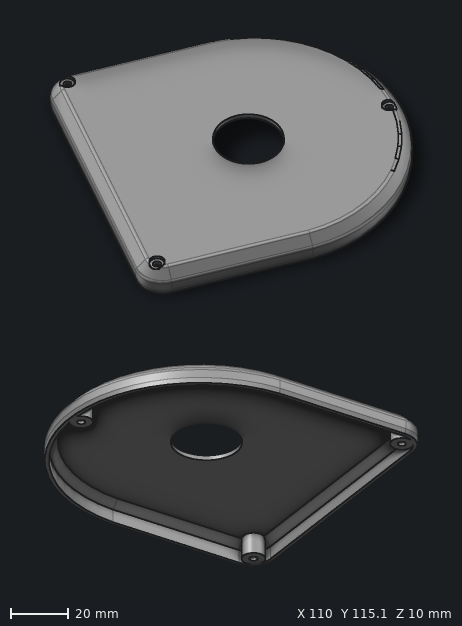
import cadquery as cq

width = 110.0
length = 115.1
height = 10.0

corner_radius = 10.0
rear_arc_start_y = 4.8

top_chamfer = 4.1
chamfer_blend_radius = 1.7
rim_taper_height = 2.0
rim_taper_inset = 0.5

wall = 2.0
cavity_height = height - wall
cavity_chamfer = 3.0

center_hole_diameter = 25.0
screw_hole_diameter = 2.9
screw_seat_diameter = 5.5
screw_seat_depth = 1.2
screw_boss_diameter = 8.3
front_screw_inset = 7.0
rear_screw_inset = 5.3
screw_points = [
    (-width / 2 + front_screw_inset, -length / 2 + front_screw_inset),
    (width / 2 - front_screw_inset, -length / 2 + front_screw_inset),
    (0, length / 2 - rear_screw_inset),
]


def rounded_plate(inset, plate_height):
    """Extrude the lid outline, moved inward by inset, up from Z = 0."""
    half_width = width / 2 - inset
    half_length = length / 2 - inset
    plate = (
        cq.Workplane("XY")
        .moveTo(-half_width, -half_length)
        .lineTo(half_width, -half_length)
        .lineTo(half_width, rear_arc_start_y)
        .threePointArc((0, half_length), (-half_width, rear_arc_start_y))
        .close()
        .extrude(plate_height)
    )
    return plate.edges("|Z and <Y").fillet(corner_radius - inset)


def outer_body():
    """Solid lid with a blended top chamfer and a tapered lower rim."""
    body = rounded_plate(0, height).faces(">Z").chamfer(top_chamfer)
    shoulder_z = height - top_chamfer
    margin = 0.1
    shoulder = cq.selectors.BoxSelector(
        (-width, -length, shoulder_z - margin),
        (width, length, shoulder_z + margin),
        boundingbox=True,
    )
    body = body.edges(shoulder).fillet(chamfer_blend_radius)
    body = body.faces(">Z").edges().fillet(chamfer_blend_radius)
    return body.faces("<Z").chamfer(rim_taper_height, rim_taper_inset)


def cavity():
    """Open space under the lid, following the outer shape."""
    space = rounded_plate(wall, cavity_height).faces(">Z").chamfer(cavity_chamfer)
    return space.cut(cylinders(screw_points, screw_boss_diameter, 0))


def cylinders(points, diameter, bottom_z):
    """Vertical cylinders from bottom_z to the top face."""
    return (
        cq.Workplane("XY", origin=(0, 0, bottom_z))
        .pushPoints(points)
        .circle(diameter / 2)
        .extrude(height - bottom_z)
    )


result = (
    outer_body()
    .cut(cavity())
    .cut(cylinders([(0, 0)], center_hole_diameter, 0))
    .cut(cylinders(screw_points, screw_hole_diameter, 0))
    .cut(cylinders(screw_points, screw_seat_diameter, height - screw_seat_depth))
)